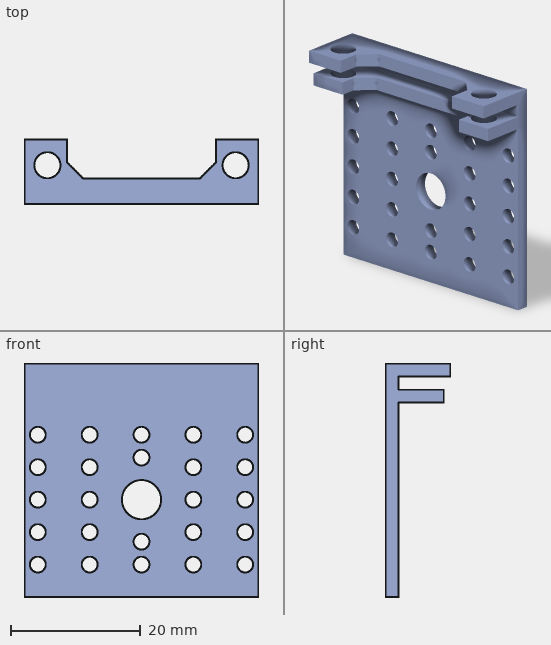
import cadquery as cq

width = 36.0
height = 36.0
thickness = 2.0

upper_depth = 10.0
lower_depth = 9.0
flange_gap = 2.0
web_depth = 4.0
upper_ear_width = 6.5
lower_ear_width = 6.0
ear_chamfer = 2.5
ear_hole_diameter = 4.0
ear_hole_inset = 3.5
ear_hole_y = 6.0

pattern_z = 15.0
bore_diameter = 6.0
small_hole_diameter = 2.4
column_pitch = 8.0
row_pitch = 5.0
columns = 5
rows = 5
extra_hole_offset = 6.48


def make_flange(depth, ear_width, top_z):
    """Horizontal flange: a web joining two ears, each with a vertical hole."""
    outer_x = width / 2
    ear_x = outer_x - ear_width
    outline = [
        (-outer_x, 0),
        (outer_x, 0),
        (outer_x, depth),
        (ear_x, depth),
        (ear_x, web_depth + ear_chamfer),
        (ear_x - ear_chamfer, web_depth),
        (ear_chamfer - ear_x, web_depth),
        (-ear_x, web_depth + ear_chamfer),
        (-ear_x, depth),
        (-outer_x, depth),
    ]
    hole_x = outer_x - ear_hole_inset
    plane = cq.Workplane("XY", origin=(0, 0, top_z - thickness))
    flange = plane.polyline(outline).close().extrude(thickness)
    holes = (
        plane
        .pushPoints([(-hole_x, ear_hole_y), (hole_x, ear_hole_y)])
        .circle(ear_hole_diameter / 2)
        .extrude(thickness)
    )
    return flange.cut(holes)


def make_bores(diameter, points):
    """Cylinders through the plate thickness, placed relative to the pattern centre."""
    plane = cq.Workplane("XZ", origin=(0, 0, pattern_z))
    return plane.pushPoints(points).circle(diameter / 2).extrude(-thickness)


plate = cq.Workplane("XY").box(width, thickness, height, centered=(True, False, False))

small_holes = [(0, extra_hole_offset), (0, -extra_hole_offset)]
for column in range(columns):
    for row in range(rows):
        in_centre_column = column == columns // 2
        is_end_row = row in (0, rows - 1)
        if in_centre_column and not is_end_row:
            continue
        x = (column - (columns - 1) / 2) * column_pitch
        z = (row - (rows - 1) / 2) * row_pitch
        small_holes.append((x, z))

lower_top_z = height - thickness - flange_gap
result = (
    plate
    .union(make_flange(upper_depth, upper_ear_width, height))
    .union(make_flange(lower_depth, lower_ear_width, lower_top_z))
    .cut(make_bores(small_hole_diameter, small_holes))
    .cut(make_bores(bore_diameter, [(0, 0)]))
)